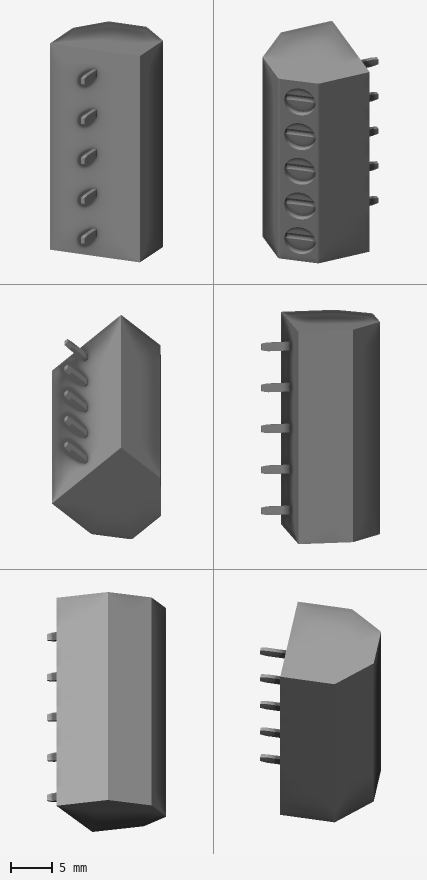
import cadquery as cq
import math

length = 26.32
width = 12.0
height = 10.8
shoulder_drop = 4.08
screw_slope_angle = 35.0
corner_radius = 0.5

pole_count = 5
pole_pitch = 5.08

screw_diameter = 3.9
screw_depth = 0.8
screw_drop = 2.18
slot_width = 0.8
slot_depth = 0.76

pin_length = 3.5
pin_thickness = 0.5
pin_width = 1.0
tip_length = 0.8
tip_width = 0.75

angle = math.radians(screw_slope_angle)
half_width = width / 2
shoulder_y = height - shoulder_drop
screw_slope_run = shoulder_drop * math.tan(angle)
plain_slope_run = shoulder_drop
first_pole_z = (length - (pole_count - 1) * pole_pitch) / 2
pole_heights = [first_pole_z + i * pole_pitch for i in range(pole_count)]


def make_housing():
    """Extruded block with a sloped shoulder on each side."""
    block = (
        cq.Workplane("XY")
        .moveTo(-half_width, 0)
        .lineTo(half_width, 0)
        .lineTo(half_width, shoulder_y)
        .lineTo(half_width - plain_slope_run, height)
        .lineTo(-half_width + screw_slope_run, height)
        .lineTo(-half_width, shoulder_y)
        .close()
        .extrude(length)
    )
    mid_z = length / 2
    slope_ends = [
        (-half_width, shoulder_y, mid_z),
        (-half_width + screw_slope_run, height, mid_z),
    ]
    for point in slope_ends:
        corner = cq.selectors.NearestToPointSelector(point)
        block = block.edges("|Z").edges(corner).fillet(corner_radius)
    return block


def make_screw_recess(z):
    """Round recess plus the driver slot in its floor, as one cutting body."""
    center_x = -half_width + (shoulder_drop - screw_drop) * math.tan(angle)
    center = cq.Vector(center_x, height - screw_drop, z)
    inward = cq.Vector(math.cos(angle), -math.sin(angle), 0)
    plane = cq.Plane(origin=center, xDir=(0, 0, 1), normal=inward)
    full_depth = screw_depth + slot_depth
    recess = cq.Workplane(plane).circle(screw_diameter / 2).extrude(screw_depth)
    deep_recess = cq.Workplane(plane).circle(screw_diameter / 2).extrude(full_depth)
    slot = cq.Workplane(plane).rect(slot_width, screw_diameter).extrude(full_depth)
    return recess.union(slot.intersect(deep_recess))


def make_pin(z):
    """Flat pin along -Y whose width narrows at the tip."""
    half_pin = pin_width / 2
    half_tip = tip_width / 2
    taper_y = -pin_length + tip_length
    return (
        cq.Workplane("YZ", origin=(0, 0, z))
        .moveTo(0, -half_pin)
        .lineTo(taper_y, -half_pin)
        .lineTo(-pin_length, -half_tip)
        .lineTo(-pin_length, half_tip)
        .lineTo(taper_y, half_pin)
        .lineTo(0, half_pin)
        .close()
        .extrude(pin_thickness / 2, both=True)
    )


result = make_housing()
for pole_z in pole_heights:
    result = result.cut(make_screw_recess(pole_z)).union(make_pin(pole_z))